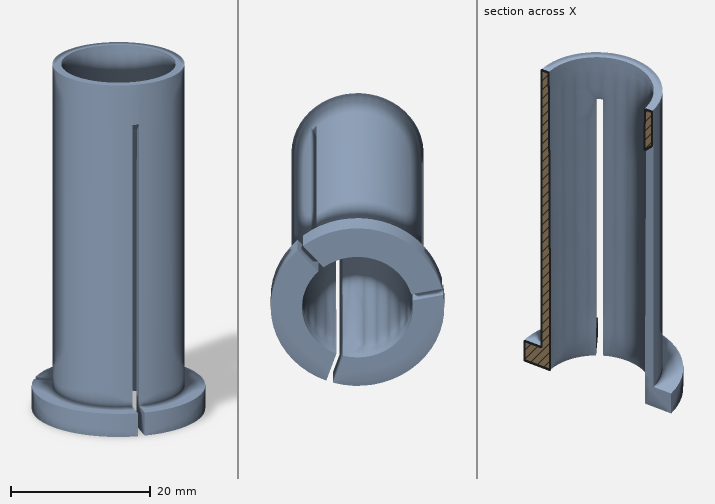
import cadquery as cq

length = 52.5
tube_radius = 9.5
flange_radius = 12.5
flange_thickness = 3.5

bore_radius_bottom = 8.0
bore_radius_top = 8.25

slot_count = 3
slot_width = 1.0
first_slot_angle = 90
solid_collar_height = 6.1
slot_top = length - solid_collar_height


def sleeve_body():
    """Flanged tube with a tapered bore, revolved about Z."""
    profile = [
        (bore_radius_bottom, 0),
        (flange_radius, 0),
        (flange_radius, flange_thickness),
        (tube_radius, flange_thickness),
        (tube_radius, length),
        (bore_radius_top, length),
    ]
    return cq.Workplane("XZ").polyline(profile).close().revolve(360, (0, 0), (0, 1))


def slot_cutter():
    """Radial slot along +X whose upper end rises outward at 45 degrees."""
    axis_height = slot_top - tube_radius
    outer_height = axis_height + flange_radius
    profile = [
        (0, 0),
        (flange_radius, 0),
        (flange_radius, outer_height),
        (0, axis_height),
    ]
    return cq.Workplane("XZ").polyline(profile).close().extrude(slot_width / 2, both=True)


result = sleeve_body()
for index in range(slot_count):
    angle = first_slot_angle + index * 360 / slot_count
    result = result.cut(slot_cutter().rotate((0, 0, 0), (0, 0, 1), angle))